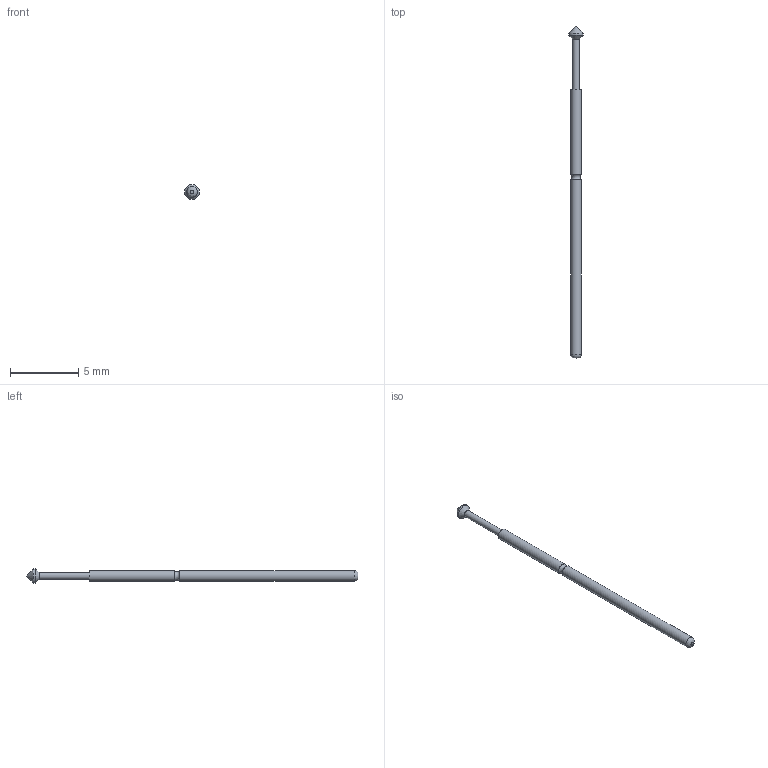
import cadquery as cq

overall_length = 24.4

head_radius = 0.55
tip_length = head_radius
rim_length = 0.12

shaft_radius = 0.25
barrel_radius = 0.4

plunger_length = 4.65

crimp_start = 10.91
crimp_width = 0.38
crimp_radius = 0.3

end_flat_radius = 0.13
end_round_radius = barrel_radius - end_flat_radius

tip_y = overall_length / 2
tail_y = -overall_length / 2
barrel_front_y = tip_y - plunger_length


def make_head():
    rim_front_y = tip_y - tip_length
    rim_back_y = rim_front_y - rim_length
    head_back_y = rim_back_y - (head_radius - shaft_radius)
    half_section = (
        cq.Workplane("XY")
        .moveTo(0, tip_y)
        .lineTo(head_radius, rim_front_y)
        .lineTo(head_radius, rim_back_y)
        .lineTo(shaft_radius, head_back_y)
        .lineTo(0, head_back_y)
        .close()
    )
    return half_section.revolve(360, (0, 0, 0), (0, 1, 0))


def make_shaft():
    shaft_front_y = tip_y - tip_length
    return (
        cq.Workplane("XZ", origin=(0, shaft_front_y, 0))
        .circle(shaft_radius)
        .extrude(shaft_front_y - barrel_front_y)
    )


def make_barrel():
    round_start_y = tail_y + end_round_radius
    half_section = (
        cq.Workplane("XY")
        .moveTo(0, barrel_front_y)
        .lineTo(barrel_radius, barrel_front_y)
        .lineTo(barrel_radius, round_start_y)
        .tangentArcPoint((end_flat_radius, tail_y), relative=False)
        .lineTo(0, tail_y)
        .close()
    )
    return half_section.revolve(360, (0, 0, 0), (0, 1, 0))


def make_crimp_ring():
    front_y = tip_y - crimp_start
    back_y = front_y - crimp_width
    middle_y = (front_y + back_y) / 2
    half_section = (
        cq.Workplane("XY")
        .moveTo(barrel_radius, front_y)
        .threePointArc((crimp_radius, middle_y), (barrel_radius, back_y))
        .close()
    )
    return half_section.revolve(360, (0, 0, 0), (0, 1, 0))


barrel = make_barrel().cut(make_crimp_ring())
result = barrel.union(make_shaft()).union(make_head())